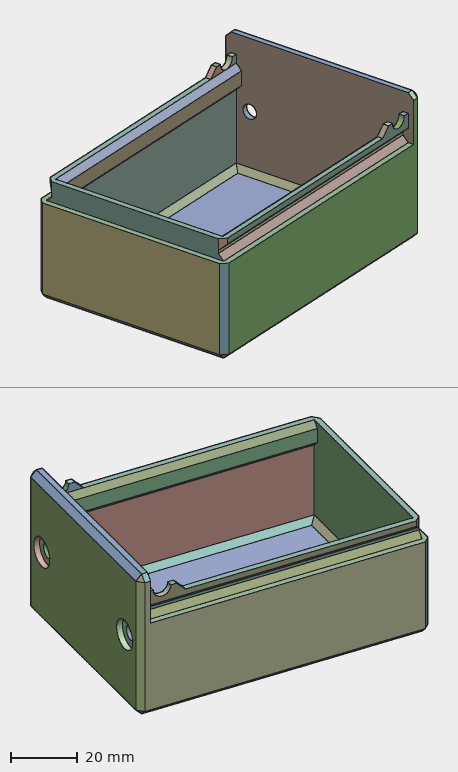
import cadquery as cq

width = 70
depth = 100
height = 50

skin = 2
wall = 2 * skin
floor_thickness = wall
chamfer = 2

step_z = 33
lip_top_z = 40
tab_top_z = 43

groove_top_z = lip_top_z - skin
groove_roof_z = groove_top_z - skin
groove_floor_z = step_z + skin
bulge_bottom_z = step_z

plate_front_y = depth - wall
tab_ramp_start_y = 83
tab_rise = tab_top_z - lip_top_z
notch_radius = tab_rise
notch_y = 91

hole_diameter = 5
counterbore_diameter = 10
counterbore_depth = skin
hole_spacing = 52
hole_z = height / 2


def block(x0, x1, y0, y1, z0, z1):
    """Box given by its limits along each axis."""
    return cq.Workplane("XY").box(x1 - x0, y1 - y0, z1 - z0, centered=False).translate((x0, y0, z0))


def outer_shell():
    """Chamfered block, lowered in front of the back plate."""
    shell = block(0, width, 0, depth, 0, height).edges().chamfer(chamfer)
    return shell.cut(block(0, width, 0, plate_front_y, step_z, height))


def lip_block():
    """Raised inner skin with its two front corners chamfered above the groove."""
    lower = block(skin, width - skin, skin, plate_front_y, step_z, groove_floor_z)
    upper = block(skin, width - skin, skin, plate_front_y, groove_floor_z, lip_top_z)
    return lower.union(upper.edges("|Z and <Y").chamfer(chamfer))


def cavity():
    """Inside of the tray, chamfered around the floor."""
    inside = block(wall, width - wall, wall, plate_front_y, floor_thickness, height)
    return inside.faces("<Z").edges().chamfer(chamfer)


def on_both_sides(solid):
    """The solid together with its mirror image across the middle of the width."""
    return solid.union(solid.mirror("YZ", (width / 2, 0, 0)))


def groove():
    """Trapezoid groove along the outside of the lip."""
    profile = [
        (skin, step_z),
        (wall, groove_floor_z),
        (wall, groove_roof_z),
        (skin, groove_top_z),
    ]
    return cq.Workplane("XZ").polyline(profile).close().extrude(-plate_front_y)


def bulge():
    """Thickening inside the wall that backs the groove."""
    bulge_x = wall + skin
    profile = [
        (wall, bulge_bottom_z - skin),
        (bulge_x, bulge_bottom_z),
        (bulge_x, groove_top_z),
        (wall, lip_top_z),
    ]
    length = plate_front_y - wall
    return cq.Workplane("XZ", origin=(0, wall, 0)).polyline(profile).close().extrude(-length)


def latch_tab():
    """Ramped tab on the lip against the back plate, with a half-round notch; its root sits in the lip."""
    return (
        cq.Workplane("YZ", origin=(skin, 0, 0))
        .moveTo(tab_ramp_start_y, groove_top_z)
        .lineTo(tab_ramp_start_y, lip_top_z)
        .lineTo(tab_ramp_start_y + tab_rise, tab_top_z)
        .lineTo(notch_y - notch_radius, tab_top_z)
        .threePointArc((notch_y, tab_top_z - notch_radius), (notch_y + notch_radius, tab_top_z))
        .lineTo(plate_front_y, tab_top_z)
        .lineTo(plate_front_y, groove_top_z)
        .close()
        .extrude(skin)
    )


def mounting_holes():
    """Pair of stepped cutters for the holes through the back plate."""
    back = cq.Workplane("XZ", origin=((width - hole_spacing) / 2, depth, hole_z))
    hole = back.circle(hole_diameter / 2).extrude(wall)
    counterbore = back.circle(counterbore_diameter / 2).extrude(counterbore_depth)
    return on_both_sides(hole.union(counterbore))


result = outer_shell().union(lip_block()).cut(cavity())
for solid in (bulge(), latch_tab()):
    result = result.union(on_both_sides(solid))
result = result.cut(on_both_sides(groove())).cut(mounting_holes())